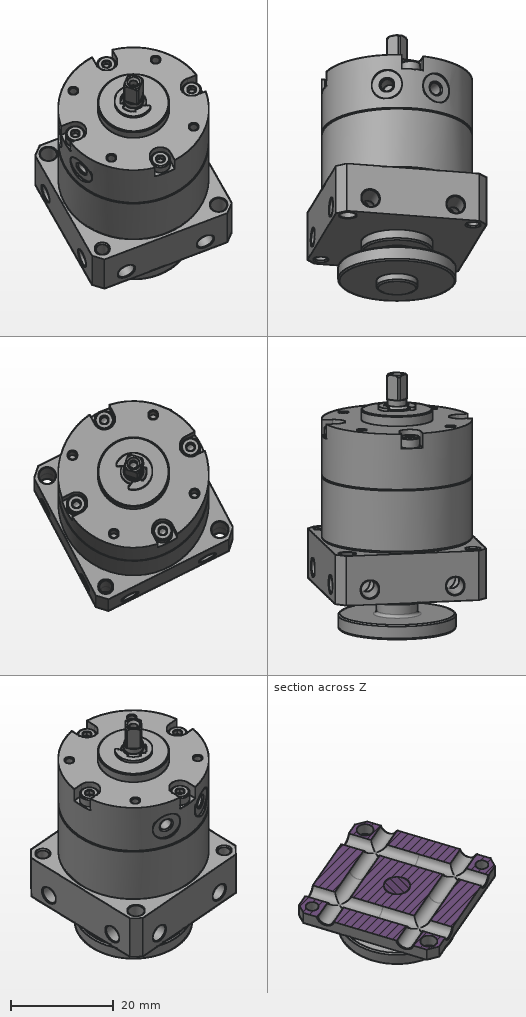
import cadquery as cq
import math

HUB_STEP = 1.5
FLANGE_TOP = 4.45
COLLAR_BOTTOM = 7.5
PLATE_BOTTOM = 9.5
PLATE_TOP = 19.35
JOINT_BOTTOM = 31.75
JOINT_TOP = 32.05
BODY_TOP = 43.05
COLLAR_TOP = 45.1
CLIP_BOTTOM = 45.2
CLIP_TOP = 45.75
SHOULDER_TOP = 45.9
DRIVE_BOTTOM = 47.1
DRIVE_TOP = 52.0

PLATE_SIDE = 30.0
PLATE_CORNER_CHAMFER = 1.8
BODY_DIAMETER = 29.4
JOINT_DIAMETER = 29.2
BODY_CHAMFER = 0.4
COLLAR_DIAMETER = 14.0
COLLAR_BOTTOM_CHAMFER = 0.3
COLLAR_TOP_CHAMFER = 0.2

DRILL_POINT_ANGLE = 120.0

BOLT_CIRCLE_RADIUS = 12.5
CORNER_HOLE_DIAMETER = 3.2
CORNER_HOLE_MOUTH = 3.5
TAPPED_HOLE_DIAMETER = 2.45
TAPPED_HOLE_MOUTH = 3.0
CROSS_HOLE_OFFSET = 8.5
CROSS_HOLE_RISE = 3.0
CROSS_HOLE_HEIGHT = PLATE_BOTTOM + CROSS_HOLE_RISE
CROSS_HOLE_DIAMETER = 3.5
CROSS_HOLE_MOUTH = 3.8

SCREW_SLOT_WIDTH = 4.25
SCREW_SLOT_FLOOR = 40.15
SCREW_HEAD_DIAMETER = 3.8
SCREW_HEAD_TOP = 42.1
SCREW_HEAD_CHAMFER = 0.25
SOCKET_FLATS = 1.5
SOCKET_MOUTH = 1.8
SOCKET_CORNER_ANGLE = 45.0
SOCKET_DEPTH = 1.05

TOP_HOLE_DIAMETER = 1.55
TOP_HOLE_MOUTH = 2.0
TOP_HOLE_DEPTH = 3.1

PORT_ANGLE = 20.0
PORT_HEIGHT = 36.95
PORT_FACE_DISTANCE = 14.25
PORT_FACE_DIAMETER = 6.0
PORT_DIAMETER = 2.45
PORT_MOUTH = 2.95
PORT_DEPTH = 3.5

HUB_DIAMETER = 8.0
HUB_CHAMFER = 0.3
HUB_TOP_CHAMFER = 0.25
FLANGE_DIAMETER = 23.0
FLANGE_CHAMFER = 0.3
FLANGE_FILLET = 0.6
SHAFT_DIAMETER = 5.0
NECK_DIAMETER = 3.75
SHOULDER_DIAMETER = 3.95
DRIVE_FLATS = 3.1
DRIVE_CORNER_DIAMETER = 4.0
DRIVE_CHAMFER = 0.3
CENTRE_HOLE_DIAMETER = 1.55
CENTRE_HOLE_MOUTH = 2.45
CENTRE_CONE_DEPTH = 0.55
CENTRE_HOLE_DEPTH = 2.1

CLIP_RADIUS = 3.7
CLIP_TIP_RADIUS = 0.4
CLIP_TIP_ANGLE = 37.5
CLIP_SEAT_X = 1.65
CLIP_SEAT_Y = 0.85
CLIP_POCKET_RADIUS = 2.6
CLIP_POCKET_EDGE = 0.55
CLIP_FINGER_WIDTH = 0.8
CLIP_POCKET_FILLET = 0.2


def disc(diameter, bottom, top):
    """Upright cylinder on the Z axis between two heights."""
    return cq.Workplane("XY").workplane(offset=bottom).circle(diameter / 2).extrude(top - bottom)


def drill(diameter, mouth, depth):
    """Cutter for a flat-bottomed hole going down from the origin, with a 45 degree chamfered mouth."""
    radius = diameter / 2
    chamfer = (mouth - diameter) / 2
    profile = [(0, 0), (mouth / 2, 0), (radius, -chamfer), (radius, -depth), (0, -depth)]
    return cq.Workplane("XZ").polyline(profile).close().revolve(360, (0, 0), (0, 1))


def drill_point(diameter):
    """Cutter for a cone that tapers down from the origin at the drill point angle."""
    radius = diameter / 2
    tip_depth = radius / math.tan(math.radians(DRILL_POINT_ANGLE / 2))
    profile = [(0, 0), (radius, 0), (0, -tip_depth)]
    return cq.Workplane("XZ").polyline(profile).close().revolve(360, (0, 0), (0, 1))


def through_drill(diameter, mouth, length):
    """Cutter for a through hole of the given length, centred on the origin, chamfered at both ends."""
    half = drill(diameter, mouth, length / 2).translate((0, 0, length / 2))
    return half.union(half.mirror("XY"))


def make_plate():
    """Square plate with chamfered corners, four corner holes and four cross holes."""
    height = PLATE_TOP - PLATE_BOTTOM
    plate = (
        cq.Workplane("XY")
        .workplane(offset=PLATE_BOTTOM)
        .rect(PLATE_SIDE, PLATE_SIDE)
        .extrude(height)
        .edges("|Z")
        .chamfer(PLATE_CORNER_CHAMFER)
    )

    clearance = through_drill(CORNER_HOLE_DIAMETER, CORNER_HOLE_MOUTH, height)
    tapped = through_drill(TAPPED_HOLE_DIAMETER, TAPPED_HOLE_MOUTH, height)
    middle = (PLATE_BOTTOM + PLATE_TOP) / 2
    for side in (-1, 1):
        corner = side * BOLT_CIRCLE_RADIUS
        plate = plate.cut(clearance.translate((corner, corner, middle)))
        plate = plate.cut(tapped.translate((corner, -corner, middle)))

    cross = through_drill(CROSS_HOLE_DIAMETER, CROSS_HOLE_MOUTH, PLATE_SIDE)
    along_x = cross.rotate((0, 0, 0), (0, 1, 0), 90)
    along_y = cross.rotate((0, 0, 0), (1, 0, 0), 90)
    for offset in (-CROSS_HOLE_OFFSET, CROSS_HOLE_OFFSET):
        plate = plate.cut(along_x.translate((0, offset, CROSS_HOLE_HEIGHT)))
        plate = plate.cut(along_y.translate((offset, 0, CROSS_HOLE_HEIGHT)))
    return plate


def make_barrel():
    """Round body with a shallow joint groove around it and a collar at each end."""
    lower = disc(BODY_DIAMETER, PLATE_TOP, JOINT_BOTTOM).faces("<Z").chamfer(BODY_CHAMFER)
    joint = disc(JOINT_DIAMETER, JOINT_BOTTOM, JOINT_TOP)
    upper = disc(BODY_DIAMETER, JOINT_TOP, BODY_TOP)
    top_collar = disc(COLLAR_DIAMETER, BODY_TOP, COLLAR_TOP).faces(">Z").chamfer(COLLAR_TOP_CHAMFER)
    bottom_collar = (
        disc(COLLAR_DIAMETER, COLLAR_BOTTOM, PLATE_BOTTOM).faces("<Z").chamfer(COLLAR_BOTTOM_CHAMFER)
    )
    return lower.union(joint).union(upper).union(top_collar).union(bottom_collar)


def make_screw_slot():
    """Cutter for one slot on the +X side, open at the rim and rounded towards the axis."""
    depth = BODY_TOP - SCREW_SLOT_FLOOR
    half_width = SCREW_SLOT_WIDTH / 2
    return (
        cq.Workplane("XY")
        .workplane(offset=SCREW_SLOT_FLOOR)
        .moveTo(BODY_DIAMETER, half_width)
        .lineTo(BOLT_CIRCLE_RADIUS, half_width)
        .threePointArc((BOLT_CIRCLE_RADIUS - half_width, 0), (BOLT_CIRCLE_RADIUS, -half_width))
        .lineTo(BODY_DIAMETER, -half_width)
        .close()
        .extrude(depth)
    )


def make_screw_head(turn):
    """Screw head in the slot at the given angle; every hexagon socket has a corner at the same angle."""
    head = disc(SCREW_HEAD_DIAMETER, SCREW_SLOT_FLOOR, SCREW_HEAD_TOP).faces(">Z").chamfer(SCREW_HEAD_CHAMFER)
    corner_diameter = SOCKET_FLATS / math.cos(math.pi / 6)
    hexagon = (
        cq.Workplane("XY")
        .polygon(6, corner_diameter)
        .extrude(-SOCKET_DEPTH)
        .rotate((0, 0, 0), (0, 0, 1), SOCKET_CORNER_ANGLE)
    )
    point = drill_point(SOCKET_FLATS).translate((0, 0, -SOCKET_DEPTH))
    mouth = drill_point(SOCKET_MOUTH)
    head = head.cut(hexagon.union(point).union(mouth).translate((0, 0, SCREW_HEAD_TOP)))
    angle = math.radians(turn)
    return head.translate((BOLT_CIRCLE_RADIUS * math.cos(angle), BOLT_CIRCLE_RADIUS * math.sin(angle), 0))


def make_port():
    """Cutter for one air port facing -Y: a shallow spot face and a blind bore."""
    rim_clearance = BODY_DIAMETER / 2 - PORT_FACE_DISTANCE + 0.5
    bore = drill(PORT_DIAMETER, PORT_MOUTH, PORT_DEPTH)
    port = disc(PORT_FACE_DIAMETER, 0, rim_clearance).union(bore)
    return port.rotate((0, 0, 0), (1, 0, 0), 90).translate((0, -PORT_FACE_DISTANCE, PORT_HEIGHT))


def make_housing():
    """Plate and barrel with screws, blind holes, air ports and the bore for the shaft."""
    housing = make_plate().union(make_barrel())

    slot = make_screw_slot()
    top_hole = drill(TOP_HOLE_DIAMETER, TOP_HOLE_MOUTH, TOP_HOLE_DEPTH)
    top_hole = top_hole.translate((BOLT_CIRCLE_RADIUS, 0, BODY_TOP))
    for turn in (0, 90, 180, 270):
        housing = housing.cut(slot.rotate((0, 0, 0), (0, 0, 1), turn))
        housing = housing.union(make_screw_head(turn))
        housing = housing.cut(top_hole.rotate((0, 0, 0), (0, 0, 1), turn + 45))

    port = make_port()
    for turn in (-PORT_ANGLE, PORT_ANGLE):
        housing = housing.cut(port.rotate((0, 0, 0), (0, 0, 1), turn))

    shaft_bore = disc(SHAFT_DIAMETER, COLLAR_BOTTOM, COLLAR_TOP)
    return housing.cut(shaft_bore)


def make_flanged_hub():
    """Hub with a chamfered flange around it and a fillet where the upper hub meets the flange."""
    lower_hub = disc(HUB_DIAMETER, 0, HUB_STEP).faces("<Z").chamfer(HUB_CHAMFER)
    flange = disc(FLANGE_DIAMETER, HUB_STEP, FLANGE_TOP).faces("<Z or >Z").chamfer(FLANGE_CHAMFER)
    upper_hub = disc(HUB_DIAMETER, FLANGE_TOP, COLLAR_BOTTOM).faces(">Z").chamfer(HUB_TOP_CHAMFER)
    hub = lower_hub.union(flange).union(upper_hub)
    inside_corner = cq.selectors.BoxSelector(
        (-HUB_DIAMETER, -HUB_DIAMETER, FLANGE_TOP - 0.05),
        (HUB_DIAMETER, HUB_DIAMETER, FLANGE_TOP + 0.05),
        boundingbox=True,
    )
    return hub.edges(inside_corner).fillet(FLANGE_FILLET)


def make_shaft():
    """Shaft through the housing, tapering at 45 degrees inside the clip to a shoulder and a narrower neck."""
    taper_height = (SHAFT_DIAMETER - SHOULDER_DIAMETER) / 2
    profile = [
        (0, COLLAR_BOTTOM),
        (SHAFT_DIAMETER / 2, COLLAR_BOTTOM),
        (SHAFT_DIAMETER / 2, SHOULDER_TOP - taper_height),
        (SHOULDER_DIAMETER / 2, SHOULDER_TOP),
        (NECK_DIAMETER / 2, SHOULDER_TOP),
        (NECK_DIAMETER / 2, DRIVE_BOTTOM),
        (0, DRIVE_BOTTOM),
    ]
    return cq.Workplane("XZ").polyline(profile).close().revolve(360, (0, 0), (0, 1))


def make_centre_hole():
    """Cutter for the countersunk, drill-pointed hole going down from the origin."""
    radius = CENTRE_HOLE_DIAMETER / 2
    profile = [
        (0, 0),
        (CENTRE_HOLE_MOUTH / 2, 0),
        (radius, -CENTRE_CONE_DEPTH),
        (radius, -CENTRE_HOLE_DEPTH),
        (0, -CENTRE_HOLE_DEPTH),
    ]
    hole = cq.Workplane("XZ").polyline(profile).close().revolve(360, (0, 0), (0, 1))
    return hole.union(drill_point(CENTRE_HOLE_DIAMETER).translate((0, 0, -CENTRE_HOLE_DEPTH)))


def make_drive():
    """Square drive turned 45 degrees, its corners rounded off and a centre hole in its end."""
    square = (
        cq.Workplane("XY")
        .workplane(offset=DRIVE_BOTTOM)
        .rect(DRIVE_FLATS, DRIVE_FLATS)
        .extrude(DRIVE_TOP - DRIVE_BOTTOM)
        .rotate((0, 0, 0), (0, 0, 1), 45)
    )
    rounding = disc(DRIVE_CORNER_DIAMETER, DRIVE_BOTTOM, DRIVE_TOP).faces(">Z").chamfer(DRIVE_CHAMFER)
    return square.intersect(rounding).cut(make_centre_hole().translate((0, 0, DRIVE_TOP)))


def make_clip():
    """E-shaped retaining clip, open towards +Y, with two pockets beside its middle finger."""
    angle = math.radians(CLIP_TIP_ANGLE)
    tip_distance = CLIP_RADIUS - CLIP_TIP_RADIUS
    tip_x = tip_distance * math.cos(angle)
    tip_y = tip_distance * math.sin(angle)
    rim_x = CLIP_RADIUS * math.cos(angle)
    rim_y = CLIP_RADIUS * math.sin(angle)
    tip_top = tip_y + CLIP_TIP_RADIUS
    tip_inner = tip_x - CLIP_TIP_RADIUS
    thickness = CLIP_TOP - CLIP_BOTTOM
    base = cq.Workplane("XY").workplane(offset=CLIP_BOTTOM)
    clip = (
        base.moveTo(-CLIP_SEAT_X, CLIP_SEAT_Y)
        .lineTo(CLIP_SEAT_X, CLIP_SEAT_Y)
        .lineTo(tip_inner, tip_y)
        .threePointArc((tip_x, tip_top), (rim_x, rim_y))
        .threePointArc((0, -CLIP_RADIUS), (-rim_x, rim_y))
        .threePointArc((-tip_x, tip_top), (-tip_inner, tip_y))
        .close()
        .extrude(thickness)
    )
    middle_finger = base.rect(CLIP_FINGER_WIDTH, 2 * CLIP_RADIUS).extrude(thickness)
    pocket_zone = (
        base.center(0, -CLIP_POCKET_EDGE - CLIP_RADIUS / 2)
        .rect(2 * CLIP_RADIUS, CLIP_RADIUS)
        .extrude(thickness)
    )
    pockets = base.circle(CLIP_POCKET_RADIUS).extrude(thickness).intersect(pocket_zone).cut(middle_finger)
    return clip.cut(pockets.edges("|Z").fillet(CLIP_POCKET_FILLET))


def make_rotor():
    """Flanged hub, shaft, square drive and retaining clip as one solid."""
    return make_flanged_hub().union(make_shaft()).union(make_drive()).union(make_clip())


housing = make_housing()
rotor = make_rotor()
result = cq.Compound.makeCompound([housing.val(), rotor.val()])